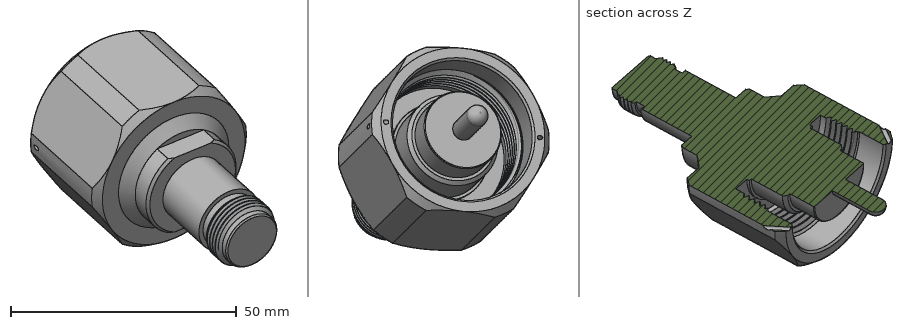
import cadquery as cq
import math


nut_length = 27.9
nut_across_flats = 38.1
nut_corner_diameter = 41.3
nut_chamfer_length = 1.85

bore_diameter = 32.5
bore_mouth_chamfer = 0.5
bore_length = 7.1
inner_thread_minor_diameter = 30.15
inner_thread_pitch = 1.5
inner_thread_groove_depth = 1.1
inner_thread_overrun = 0.7
floor_depth = 17.2

pin_diameter = 4.8
pin_length = 12.6
pin_tip_radius = 2.3
plug_diameter = 18.0
plug_chamfer = 0.2
collar_front_diameter = 19.4
collar_diameter = 21.1
collar_start = 6.8
foot_diameter = 22.5
foot_height = 0.7

cone_large_diameter = 29.5
flange_diameter = 24.15
flange_start = 30.6
flange_end = 35.45
flange_chamfer = 0.65
flange_across_flats = 20.7
barrel_diameter = 15.9
barrel_end = 49.7
neck_diameter = 13.7
body_end = 59.0
neck_end_chamfer = 0.35

outer_thread_start = 51.85
outer_thread_end = 57.3
outer_thread_start_diameter = 14.6
outer_thread_pitch = 1.1
outer_thread_groove_depth = 0.5
outer_thread_overrun = 0.3

wire_hole_diameter = 1.0
wire_hole_face_radius = 17.9
wire_hole_corner_depth = 4.15


def revolve_about_x(points):
    """Revolve an (x, radius) outline a full turn about the X axis."""
    return cq.Workplane("XY").polyline(points).close().revolve(360, (0, 0, 0), (1, 0, 0))


def x_cylinder(start, end, diameter):
    return cq.Workplane("YZ").workplane(offset=start).circle(diameter / 2).extrude(end - start)


def thread_groove(start, length, pitch, root_radius, crest_radius):
    """V-shaped helical cutter; the V narrows from crest_radius to root_radius."""
    overcut = 0.1 * (crest_radius - root_radius)
    half_mouth = 0.45 * pitch
    helix = cq.Wire.makeHelix(pitch, length, crest_radius)
    cutter = (
        cq.Workplane("XZ")
        .polyline([
            (root_radius, 0),
            (crest_radius + overcut, half_mouth),
            (crest_radius + overcut, -half_mouth),
        ])
        .close()
        .sweep(cq.Workplane(obj=helix), isFrenet=True)
    )
    return cutter.rotate((0, 0, 0), (0, 1, 0), 90).translate((start, 0, 0))


def make_nut():
    hexagon_corner_diameter = nut_across_flats / math.cos(math.pi / 6)
    hexagon = cq.Workplane("YZ").polygon(6, hexagon_corner_diameter).extrude(nut_length)
    face_radius = nut_across_flats / 2
    corner_radius = nut_corner_diameter / 2
    chamfered_blank = revolve_about_x([
        (0, 0),
        (0, face_radius),
        (nut_chamfer_length, corner_radius),
        (nut_length - nut_chamfer_length, corner_radius),
        (nut_length, face_radius),
        (nut_length, 0),
    ])
    return hexagon.intersect(chamfered_blank)


def make_bore():
    bore_radius = bore_diameter / 2
    minor_radius = inner_thread_minor_diameter / 2
    return revolve_about_x([
        (0, 0),
        (0, bore_radius + bore_mouth_chamfer),
        (bore_mouth_chamfer, bore_radius),
        (bore_length, bore_radius),
        (bore_length + bore_radius - minor_radius, minor_radius),
        (floor_depth, minor_radius),
        (floor_depth, 0),
    ])


def make_inner_thread_groove():
    minor_radius = inner_thread_minor_diameter / 2
    groove_start = bore_length - inner_thread_overrun
    groove_end = floor_depth - inner_thread_pitch
    return thread_groove(
        groove_start, groove_end - groove_start, inner_thread_pitch,
        minor_radius + inner_thread_groove_depth, minor_radius,
    )


def make_plug():
    collar_radius = collar_diameter / 2
    collar_front_radius = collar_front_diameter / 2
    return revolve_about_x([
        (0, 0),
        (0, plug_diameter / 2 - plug_chamfer),
        (plug_chamfer, plug_diameter / 2),
        (collar_start, plug_diameter / 2),
        (collar_start, collar_front_radius),
        (collar_start + collar_radius - collar_front_radius, collar_radius),
        (floor_depth - foot_height, collar_radius),
        (floor_depth - foot_height, foot_diameter / 2),
        (floor_depth, foot_diameter / 2),
        (floor_depth, 0),
    ])


def make_pin():
    return x_cylinder(-pin_length, 0, pin_diameter).faces("<X").edges().fillet(pin_tip_radius)


def make_cone():
    return revolve_about_x([
        (nut_length, 0),
        (nut_length, cone_large_diameter / 2),
        (flange_start, flange_diameter / 2),
        (flange_start, 0),
    ])


def make_flange():
    flange = x_cylinder(flange_start, flange_end, flange_diameter)
    flange = flange.faces(">X").edges().chamfer(flange_chamfer)
    wrench_flats = cq.Workplane("XY").box(4 * flange_end, flange_diameter, flange_across_flats)
    return flange.intersect(wrench_flats)


def make_threaded_ring():
    """Threaded cylinder trimmed to 45-degree tapers by two cones that meet base to base."""
    crest_radius = barrel_diameter / 2
    start_radius = outer_thread_start_diameter / 2
    end_radius = neck_diameter / 2
    thread_length = outer_thread_end - outer_thread_start
    cone_rise = (thread_length + end_radius - start_radius) / 2
    trim_cones = revolve_about_x([
        (outer_thread_start, 0),
        (outer_thread_start, start_radius),
        (outer_thread_start + cone_rise, start_radius + cone_rise),
        (outer_thread_end, end_radius),
        (outer_thread_end, 0),
    ])
    groove = thread_groove(
        outer_thread_start - outer_thread_overrun, thread_length + 2 * outer_thread_overrun,
        outer_thread_pitch,
        crest_radius - outer_thread_groove_depth, crest_radius,
    )
    ring = x_cylinder(outer_thread_start, outer_thread_end, barrel_diameter)
    return ring.cut(groove).intersect(trim_cones)


def make_tail():
    barrel = x_cylinder(flange_end, barrel_end, barrel_diameter)
    neck = x_cylinder(barrel_end, body_end, neck_diameter)
    neck = neck.faces(">X").edges().chamfer(neck_end_chamfer)
    return barrel.union(neck).union(make_threaded_ring())


def make_wire_hole(side):
    """Oblique hole on the +Y (side = 1) or -Y (side = -1) corner of the nut."""
    radial_rise = nut_corner_diameter / 2 - wire_hole_face_radius
    direction = cq.Vector(wire_hole_corner_depth, side * radial_rise, 0)
    face_point = cq.Vector(0, side * wire_hole_face_radius, 0)
    return cq.Solid.makeCylinder(
        wire_hole_diameter / 2, 3 * direction.Length, face_point - direction, direction
    )


nut = make_nut().cut(make_bore()).cut(make_inner_thread_groove())
for side in (-1, 1):
    nut = nut.cut(cq.Workplane(obj=make_wire_hole(side)))

result = nut.union(make_plug()).union(make_pin())
result = result.union(make_cone()).union(make_flange()).union(make_tail())